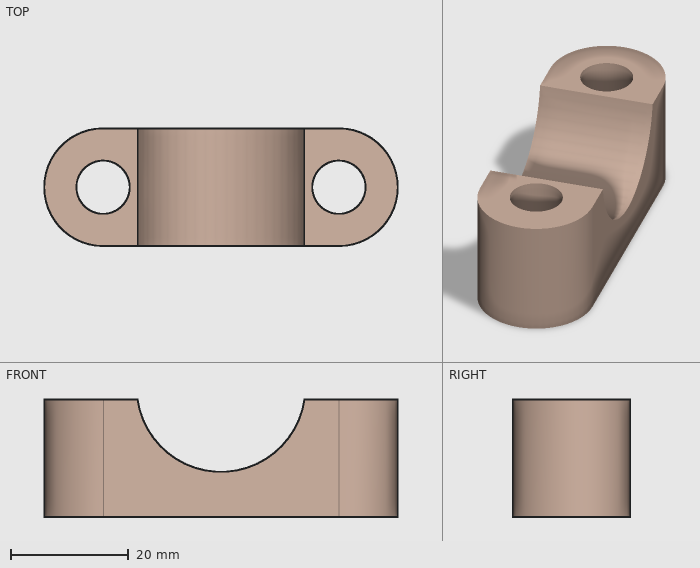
import cadquery as cq

length = 60.0
width = length / 3
height = width
hole_diameter = 9.0
saddle_radius = 14.3
saddle_axis_rise = 2.0

hole_spacing = length - width


def make_body():
    """Upright block with full-round ends, resting on Z = 0."""
    return cq.Workplane("XY").slot2D(length, width).extrude(height)


def make_saddle():
    """Cylinder along Y that forms the open saddle."""
    return (
        cq.Workplane("XZ")
        .center(0, height + saddle_axis_rise)
        .circle(saddle_radius)
        .extrude(width / 2, both=True)
    )


def make_bolt_holes():
    """Through holes at the centres of the rounded ends."""
    return (
        cq.Workplane("XY")
        .pushPoints([(-hole_spacing / 2, 0), (hole_spacing / 2, 0)])
        .circle(hole_diameter / 2)
        .extrude(height)
    )


result = make_body().cut(make_saddle()).cut(make_bolt_holes())